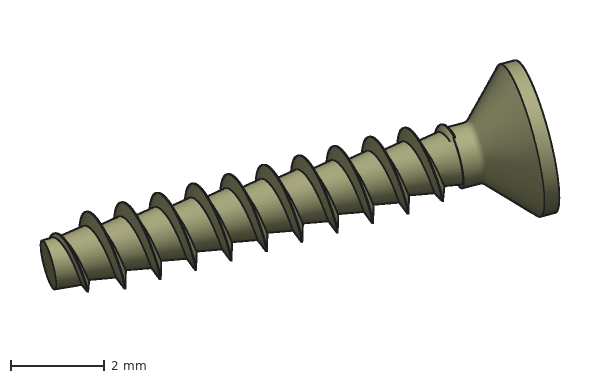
import cadquery as cq
import math

length = 11.0
head_radius = 1.7
rim_height = 0.34

shank_radius = 0.68
shank_end_depth = 1.83
neck_fillet = 0.18
cone_angle = math.radians(45)

pitch = 0.8
thread_start_depth = 1.79
crest_radius = 0.91
crest_width = 0.02
root_width = 0.25

emerging_turn = 0.1
buried_turns = 0.15
start_crest_radius = 0.76
run_in_turns = 1.1

thread_turns = 11.5
run_out_turns = 1.35
end_root_width = 0.08

ramp_top_radius = 0.63
ramp_end_radius = 0.535

first_turn = -1.375
winding_count = 14
bore_radius = 0.3
core_radius = 0.4
points_per_turn = 20

cone_end_depth = rim_height + (head_radius - shank_radius) / math.tan(cone_angle)


def make_head_and_core():
    """Revolve the head, filleted neck, shank and cylindrical core about Y."""
    tangent_length = neck_fillet * math.tan(cone_angle / 2)
    cone_radius_step = tangent_length * math.sin(cone_angle)
    cone_depth_step = tangent_length * math.cos(cone_angle)
    arc_centre_radius = shank_radius + neck_fillet
    arc_centre_depth = cone_end_depth + tangent_length
    arc_mid_radius = arc_centre_radius - neck_fillet * math.cos(cone_angle / 2)
    arc_mid_depth = arc_centre_depth - neck_fillet * math.sin(cone_angle / 2)
    return (
        cq.Workplane("XY")
        .lineTo(head_radius, 0)
        .lineTo(head_radius, -rim_height)
        .lineTo(shank_radius + cone_radius_step, -(cone_end_depth - cone_depth_step))
        .threePointArc((arc_mid_radius, -arc_mid_depth), (shank_radius, -arc_centre_depth))
        .lineTo(shank_radius, -shank_end_depth)
        .lineTo(core_radius, -shank_end_depth)
        .lineTo(core_radius, -length)
        .lineTo(0, -length)
        .close()
        .revolve(360, (0, 0, 0), (0, 1, 0))
    )


def helix_point(turn, radius, offset):
    """Point on the thread helix, moved towards the tip by the axial offset."""
    angle = 2 * math.pi * turn
    depth = thread_start_depth + pitch * turn + offset
    return cq.Vector(-radius * math.sin(angle), -depth, radius * math.cos(angle))


def run_out_value(full_value, end_value, turn):
    """Size that stays full along the thread and fades to its end value over the run-out."""
    share = (thread_turns - turn) / run_out_turns
    return end_value + (full_value - end_value) * max(0, min(1, share))


def crest_radius_at(turn):
    """Crest radius: buried in the shank, rising over the run-in, sinking over the run-out."""
    turn_past_shank = turn - emerging_turn
    if turn_past_shank <= 0:
        share = min(1, -turn_past_shank / buried_turns)
        return start_crest_radius + (ramp_top_radius - start_crest_radius) * share
    share = min(1, turn_past_shank / run_in_turns)
    full_radius = start_crest_radius + (crest_radius - start_crest_radius) * share
    return run_out_value(full_radius, ramp_end_radius, turn)


def half_root_at(turn):
    """Half the axial width of the thread at its root."""
    return run_out_value(root_width, end_root_width, turn) / 2


def thread_profile(turn):
    """Outer profile of one pitch as (radius, offset): crest, then core ramp to the next crest."""
    radius = crest_radius_at(turn)
    half_root = half_root_at(turn)
    return [
        (ramp_end_radius, -half_root),
        (radius, -crest_width / 2),
        (radius, crest_width / 2),
        (run_out_value(ramp_top_radius, ramp_end_radius, turn), half_root),
        (ramp_end_radius, pitch - half_root_at(turn + 1)),
    ]


def tube_section(turn):
    """Outer profile closed at the bore of the threaded tube."""
    profile = thread_profile(turn)
    bore_top = (bore_radius, profile[0][1])
    bore_end = (bore_radius, profile[-1][1])
    return [bore_top, *profile, bore_end]


def make_threaded_tube():
    """Tube wound from whole turns, each joined to the next along its root edge."""
    faces = []
    for winding in range(winding_count):
        turns = [first_turn + winding + i / points_per_turn for i in range(points_per_turn + 1)]
        sections = [tube_section(turn) for turn in turns]
        edges = []
        for corner in range(len(sections[0])):
            points = [helix_point(turn, *section[corner]) for turn, section in zip(turns, sections)]
            edges.append(cq.Edge.makeSpline(points))
        if winding == 0:
            faces.append(cq.Face.makeRuledSurface(edges[0], edges[1]))
        for upper, lower in zip(edges[1:-2], edges[2:-1]):
            faces.append(cq.Face.makeRuledSurface(upper, lower))
        if winding == winding_count - 1:
            faces.append(cq.Face.makeRuledSurface(edges[-2], edges[-1]))
        faces.append(cq.Face.makeRuledSurface(edges[-1], edges[0]))
    for turn in (first_turn, first_turn + winding_count):
        corners = [helix_point(turn, *corner) for corner in tube_section(turn)]
        faces.append(cq.Face.makeFromWires(cq.Wire.makePolygon(corners, close=True)))
    solid = cq.Solid.makeSolid(cq.Shell.makeShell(faces))
    return cq.Workplane(solid.fix())


def make_tip_trim():
    """Cylinder below the tip that takes off the overrun of the threaded tube."""
    tube_end_depth = thread_start_depth + pitch * (first_turn + winding_count + 1)
    return cq.Workplane("XZ", (0, -length, 0)).circle(head_radius).extrude(tube_end_depth - length)


result = make_head_and_core().union(make_threaded_tube()).cut(make_tip_trim())
result = cq.Workplane(result.solids().val())